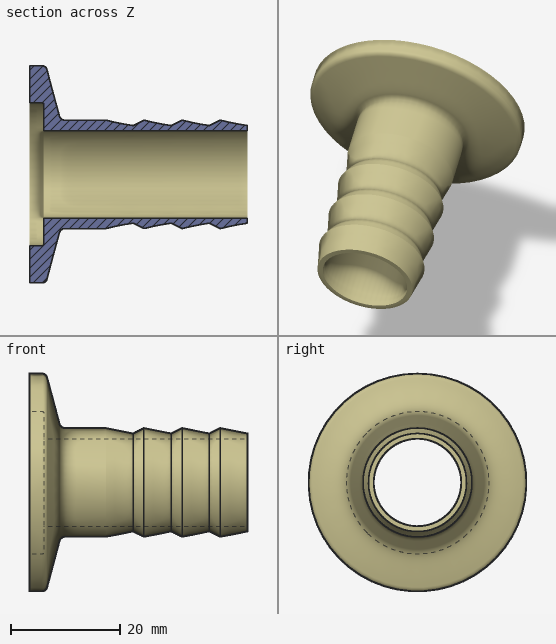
import cadquery as cq
import math

length = 40.0
flange_radius = 20.0
neck_radius = 10.0
bore_radius = 8.0

rim_width = 2.3
rim_edge_radius = 1.0
cone_angle = math.radians(15)
neck_fillet = 1.0

recess_radius = 13.1
recess_depth = 2.6
recess_fillet = 0.3

barb_count = 3
barb_pitch = 7.0
barb_taper_length = 5.0
barb_root_radius = 9.0
neck_end = length - barb_taper_length - barb_count * barb_pitch


def cone_x(radius):
    """X position of the conical flange back at a given radius."""
    return cone_start_x + (cone_start_radius - radius) * math.tan(cone_angle)


edge_center_radius = flange_radius - rim_edge_radius
cone_start_x = rim_width + rim_edge_radius * math.cos(cone_angle)
cone_start_radius = edge_center_radius + rim_edge_radius * math.sin(cone_angle)
round_mid_angle = (math.pi / 2 + cone_angle) / 2
edge_mid = (
    rim_width + rim_edge_radius * math.cos(round_mid_angle),
    edge_center_radius + rim_edge_radius * math.sin(round_mid_angle),
)

fillet_center_radius = neck_radius + neck_fillet
fillet_center_x = cone_x(fillet_center_radius) + neck_fillet / math.cos(cone_angle)
fillet_start = (
    fillet_center_x - neck_fillet * math.cos(cone_angle),
    fillet_center_radius - neck_fillet * math.sin(cone_angle),
)
fillet_mid = (
    fillet_center_x - neck_fillet * math.cos(round_mid_angle),
    fillet_center_radius - neck_fillet * math.sin(round_mid_angle),
)


def turned_body():
    """Outer profile revolved into a solid with no bore."""
    profile = (
        cq.Workplane("XZ")
        .lineTo(0, flange_radius)
        .lineTo(rim_width, flange_radius)
        .threePointArc(edge_mid, (cone_start_x, cone_start_radius))
        .lineTo(*fillet_start)
        .threePointArc(fillet_mid, (fillet_center_x, neck_radius))
    )
    for index in range(barb_count + 1):
        crest_x = neck_end + index * barb_pitch
        profile = profile.lineTo(crest_x, neck_radius)
        profile = profile.lineTo(crest_x + barb_taper_length, barb_root_radius)
    return profile.lineTo(length, 0).close().revolve(360, (0, 0, 0), (1, 0, 0))


def ring_recess():
    """Disc removed from the flange face, rounded at its floor."""
    disc = cq.Workplane("YZ").circle(recess_radius).extrude(recess_depth)
    return disc.faces(">X").edges().fillet(recess_fillet)


bore = cq.Workplane("YZ").circle(bore_radius).extrude(length)

result = turned_body().cut(ring_recess()).cut(bore)